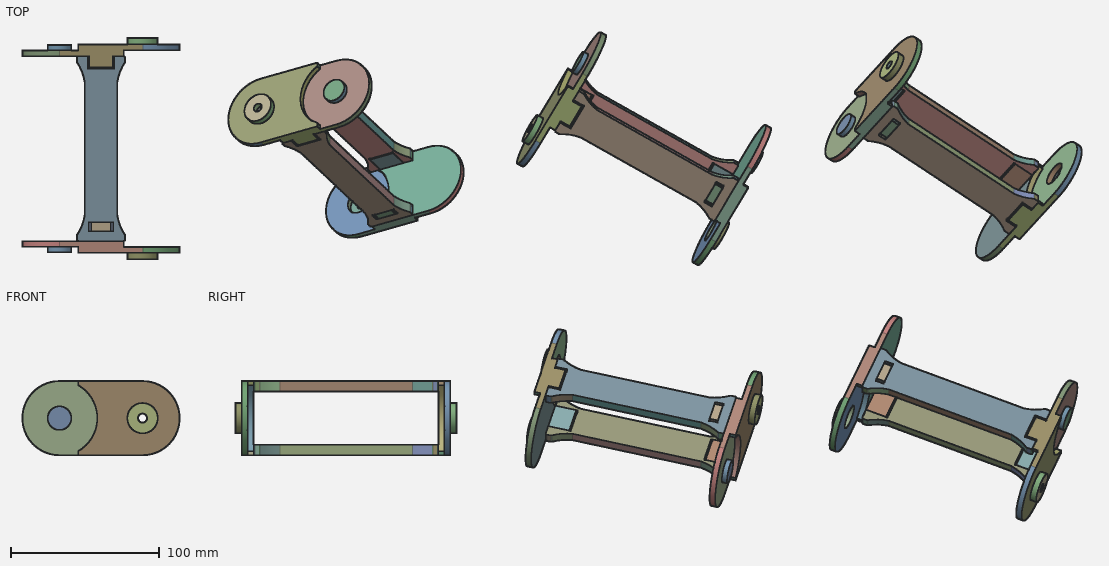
import cadquery as cq

overall_width = 149.0
link_height = 50.0
pivot_spacing = 55.9
end_radius = link_height / 2
pivot_x = pivot_spacing / 2

boss_height = 4.3
layer_thickness = 4.0
outer_face_y = overall_width / 2 - boss_height
layer_face_y = outer_face_y - layer_thickness
inner_face_y = layer_face_y - layer_thickness
shoulder_x = 15.3
clearance_radius = end_radius + 0.5
boss_diameter = 20.4
bore_diameter = 6.0
pin_diameter = 16.0
pin_length = 3.6
socket_diameter = pin_diameter + 0.3
socket_depth = layer_thickness

bar_thickness = 7.2
bar_half_width = 11.0
bar_end_half_width = 16.2
bar_end_length = 4.0
bar_flare_end = 17.5
flare_radius = 32.8
bar_corner_radius = 0.9
bar_top_z = link_height / 2
bar_bottom_z = bar_top_z - bar_thickness

tab_width = 18.0
tab_length = 14.6
tab_top_z = bar_bottom_z + bar_thickness / 2
joint_gap = 1.0
pocket_length = tab_length + joint_gap
hook_width = tab_width - 2 * joint_gap
hook_length = 7.3
latch_width = 13.0
latch_start = 6.7
latch_end = 12.5
window_width = 16.4


def block(width, y_start, y_end, z_start, z_end):
    """Box centred on X = 0 between the given Y and Z limits."""
    return (
        cq.Workplane("XY")
        .box(width, y_end - y_start, z_end - z_start, centered=(True, False, False))
        .translate((0, y_start, z_start))
    )


def disc(x, diameter, y_start, y_end):
    """Cylinder along Y at the given X."""
    return (
        cq.Workplane("XZ", origin=(x, y_start, 0))
        .circle(diameter / 2)
        .extrude(y_start - y_end)
    )


def lap_cut(side, y_start, y_end):
    """Room for the neighbouring link: all beyond the shoulder plus its swing circle."""
    reach = pivot_x + end_radius
    beyond = block(reach, y_start, y_end, -link_height, link_height)
    beyond = beyond.translate((side * (shoulder_x + reach / 2), 0, 0))
    return beyond.union(disc(side * pivot_x, 2 * clearance_radius, y_start, y_end))


def plain_plate():
    """Side plate at the +Y end, without its crossbar tabs."""
    plate = (
        cq.Workplane("XZ", origin=(0, inner_face_y, 0))
        .slot2D(pivot_spacing + link_height, link_height)
        .extrude(inner_face_y - outer_face_y)
    )
    plate = plate.cut(lap_cut(-1, layer_face_y, outer_face_y))
    plate = plate.cut(lap_cut(1, inner_face_y, layer_face_y))

    pin = disc(-pivot_x, pin_diameter, layer_face_y, layer_face_y + pin_length)
    boss = disc(pivot_x, boss_diameter, outer_face_y, overall_width / 2)
    socket = disc(pivot_x, socket_diameter, layer_face_y, layer_face_y + socket_depth)
    bore = disc(pivot_x, bore_diameter, layer_face_y, overall_width / 2)
    return plate.union(pin).union(boss).cut(socket).cut(bore)


def base_tab():
    """Wide tab that lies in the inner half of the upper crossbar at the +Y end."""
    return block(tab_width, inner_face_y - tab_length, inner_face_y,
                 bar_bottom_z, tab_top_z)


def hook_tab():
    """Base tab with a full-height block at its root."""
    hook = block(hook_width, inner_face_y - hook_length, inner_face_y,
                 bar_bottom_z, bar_top_z)
    return base_tab().union(hook)


def latch_tab():
    """Base tab with a catch that rises through the crossbar window."""
    catch = block(latch_width, inner_face_y - latch_end, inner_face_y - latch_start,
                  bar_bottom_z, bar_top_z)
    return base_tab().union(catch)


def side_plate(tab):
    """Plate at the +Y end with the given tab at its top and bottom edges."""
    return plain_plate().union(tab).union(tab.mirror("XY"))


def bar_blank():
    """Crossbar outline, flared at both ends, with softened corners."""
    kink_y = inner_face_y - bar_end_length
    flare_y = inner_face_y - bar_flare_end
    blank = (
        cq.Workplane("XY", origin=(0, 0, bar_bottom_z))
        .moveTo(bar_end_half_width, -inner_face_y)
        .lineTo(bar_end_half_width, -kink_y)
        .radiusArc((bar_half_width, -flare_y), flare_radius)
        .lineTo(bar_half_width, flare_y)
        .radiusArc((bar_end_half_width, kink_y), flare_radius)
        .lineTo(bar_end_half_width, inner_face_y)
        .lineTo(0, inner_face_y)
        .lineTo(0, -inner_face_y)
        .close()
        .extrude(bar_thickness)
    )
    blank = blank.union(blank.mirror("YZ")).clean()
    plain_half = bar_half_width + bar_corner_radius
    plain_zone = cq.selectors.BoxSelector(
        (-plain_half, -overall_width, -link_height),
        (plain_half, overall_width, link_height),
    )
    corners = blank.edges("|Z").edges(cq.selectors.InverseSelector(plain_zone))
    return corners.fillet(bar_corner_radius)


def crossbar():
    """Upper crossbar: hook notch at the +Y end, latch window at the -Y end."""
    pocket = block(tab_width, inner_face_y - pocket_length, inner_face_y,
                   bar_bottom_z, tab_top_z)
    notch = block(tab_width, inner_face_y - hook_length - joint_gap, inner_face_y,
                  bar_bottom_z, bar_top_z)
    window = block(window_width, latch_start - inner_face_y, latch_end - inner_face_y,
                   bar_bottom_z, bar_top_z)
    return bar_blank().cut(pocket).cut(pocket.mirror("XZ")).cut(notch).cut(window)


hook_plate = side_plate(hook_tab())
latch_plate = side_plate(latch_tab()).mirror("XZ")

upper_bar = crossbar()
crossbars = []
for bar in (upper_bar, upper_bar.mirror("XY")):
    crossbars.extend(bar.solids().vals())

result = cq.Compound.makeCompound(
    [hook_plate.solids().val(), latch_plate.solids().val(), *crossbars]
)